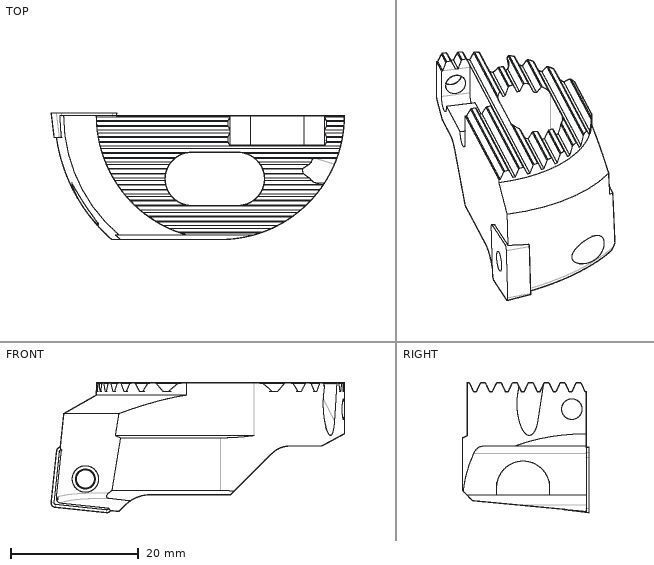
import cadquery as cq
import math


crown_radius = 19.45
cone_radius = 24.55
shoulder_top = 1.95
shoulder_foot = 4.85
relief_angle = 6.0
body_depth = 32.2
front_face = crown_radius
step_width = 0.75
step_top = 8.3
step_foot = 8.65

tip_x = -15.9
tip_depth = 20.2
sole_depth = 17.55
sole_end_x = 1.6
tail_depth = 9.95
tail_end_x = 15.85
tail_end_depth = 8.0
tip_round = 5.5
tail_round = 4.0
nose_round = 0.8
chamfer_top = 16.9

tooth_count = 7
teeth_span = 17.5
tooth_pitch = teeth_span / tooth_count
tooth_height = 1.4
valley_width = 0.4
crest_width = 0.9
crest_chamfer = 0.15

slot_x = -0.87
slot_y = -9.95
slot_length = 15.55
slot_width = 8.33
notch_x = 8.92
notch_depth_y = 4.6
notch_floor = 6.0
notch_floor_length = 8.35
notch_groove_radius = 1.6
notch_flare = 0.3
cross_hole_radius = 1.6
cross_hole_y = -2.3
cross_hole_z = -4.15
scoop_radius = 1.9
scoop_x = 15.0
scoop_y = -8.6
scoop_turn = -17.0
scoop_dip = 62.0

insert_x = -21.4
insert_z = -15.23
insert_side = 9.5
insert_corner = 0.75
insert_thickness = 3.85
insert_stand_out = 0.4
insert_tilt = 6.0
insert_clearance = 7.0
screw_x = -21.15
screw_z = -15.1
screw_radius = 1.55
screw_chamfer = 0.15
access_radius = 2.05
access_floor_y = -9.75
screw_tip_y = -8.3

far = 55.2
overshoot = 0.45


def prism_along_y(points, y_start, y_end):
    """Polygon of (x, z) points swept from y_start to y_end."""
    sketch = cq.Workplane("XZ", origin=(0, y_start, 0)).polyline(points).close()
    return sketch.extrude(y_start - y_end)


def prism_along_x(points):
    """Polygon of (y, z) points swept through the whole length."""
    return cq.Workplane("YZ", origin=(-far, 0, 0)).polyline(points).close().extrude(2 * far)


def rod_along_y(radius, x, z, y_start, y_end):
    """Round bar from y_start down to y_end."""
    return cq.Workplane("XZ", origin=(x, y_start, z)).circle(radius).extrude(y_start - y_end)


def quarter_box(direction):
    """Block bounding the jaw on one side of the turning axis (-1 or +1 along X)."""
    size_x = 2 * crown_radius
    box = cq.Workplane("XY").box(size_x, front_face, body_depth)
    return box.translate((direction * size_x / 2, -front_face / 2, -body_depth / 2))


def relieved_underside():
    """Everything below the plane that rises to -X and to -Y at the relief angle."""
    slope = math.tan(math.radians(relief_angle))
    normal = cq.Vector(-slope, -slope, -1)
    plane = cq.Plane(origin=(tip_x, 0, -tip_depth), xDir=(1, 0, -slope), normal=normal.toTuple())
    return cq.Workplane(plane).rect(2 * far, 2 * far).extrude(far)


def rounded_flank():
    """The -X end: crown, sloping shoulder and relieved flank turned about the axis."""
    foot_radius = cone_radius + (body_depth - shoulder_foot) * math.tan(math.radians(relief_angle))
    profile = [
        (0, 0),
        (crown_radius, 0),
        (crown_radius, -shoulder_top),
        (cone_radius, -shoulder_foot),
        (foot_radius, -body_depth),
        (0, -body_depth),
    ]
    turned = cq.Workplane("XZ").polyline(profile).close().revolve(360, (0, 0), (0, 1))
    trimmed = turned.cut(relieved_underside())
    trimmed = trimmed.faces("<Z").edges("%ELLIPSE").fillet(nose_round)
    return trimmed.intersect(quarter_box(-1))


def rounded_tail():
    """The +X end: a plain quarter cylinder."""
    return cq.Workplane("XY").circle(crown_radius).extrude(-body_depth).intersect(quarter_box(1))


def underside_cutter():
    """Space under the jaw: 45 degree tip, flat sole, 45 degree rise, tail and sloping end."""
    run_in = tip_depth - sole_depth
    rise = sole_depth - tail_depth
    end_slope = (tail_depth - tail_end_depth) / (crown_radius - tail_end_x)
    points = [
        (tip_x - far, -tip_depth - far),
        (tip_x + run_in, -sole_depth),
        (sole_end_x, -sole_depth),
        (sole_end_x + rise, -tail_depth),
        (tail_end_x, -tail_depth),
        (tail_end_x + far, -tail_depth + far * end_slope),
        (tail_end_x + far, -tip_depth - far),
    ]
    cutter = prism_along_y(points, far, -far)
    tip_corner = cq.selectors.NearestToPointSelector((tip_x + run_in, 0, -sole_depth))
    tail_corner = cq.selectors.NearestToPointSelector((sole_end_x + rise, 0, -tail_depth))
    return cutter.edges(tip_corner).fillet(tip_round).edges(tail_corner).fillet(tail_round)


def step_cutter():
    """Set-back of the front face above the sloping ledge."""
    inner = -front_face + step_width
    return prism_along_x([
        (inner, overshoot),
        (inner, -step_top),
        (-front_face, -step_foot),
        (-far, -step_foot),
        (-far, overshoot),
    ])


def front_chamfer_cutter():
    """45 degree chamfer along the lower front edge."""
    return prism_along_x([
        (-front_face, -chamfer_top),
        (-front_face + far, -chamfer_top - far),
        (-front_face - far, -chamfer_top - far),
        (-front_face - far, -chamfer_top),
    ])


def tooth_groove(y):
    """One V groove with a flat bottom; its mouth also bevels the crests beside it."""
    floor = valley_width / 2
    mouth = (tooth_pitch - crest_width) / 2
    bevel = mouth + crest_chamfer
    return prism_along_x([
        (y - floor, -tooth_height),
        (y + floor, -tooth_height),
        (y + mouth, -crest_chamfer),
        (y + bevel, 0),
        (y + bevel, overshoot),
        (y - bevel, overshoot),
        (y - bevel, 0),
        (y - mouth, -crest_chamfer),
    ])


def notch_cutter():
    """Notch in the top of the back face, with flared mouth and a round groove in each corner."""
    half_floor = notch_floor_length / 2
    half_wall = half_floor + 2 * notch_groove_radius
    half_mouth = half_wall + notch_flare
    points = [
        (notch_x - half_wall, -notch_floor),
        (notch_x + half_wall, -notch_floor),
        (notch_x + half_wall, -tooth_height),
        (notch_x + half_mouth, 0),
        (notch_x - half_mouth, 0),
        (notch_x - half_wall, -tooth_height),
    ]
    cutter = prism_along_y(points, 0, -notch_depth_y)
    for side in (-1, 1):
        groove_x = notch_x + side * (half_floor + notch_groove_radius)
        cutter = cutter.union(rod_along_y(notch_groove_radius, groove_x, -notch_floor, 0, -notch_depth_y))
    return cutter


def cross_hole_cutter():
    """Hole along X from the notch out through the +X end."""
    start = cq.Workplane("YZ", origin=(notch_x, cross_hole_y, cross_hole_z))
    return start.circle(cross_hole_radius).extrude(far)


def scoop_cutter():
    """Inclined U-shaped scoop running out through the +X end, open toward +X."""
    turn = math.radians(scoop_turn)
    dip = math.radians(scoop_dip)
    axis = cq.Vector(math.cos(turn) * math.cos(dip), math.sin(turn) * math.cos(dip), -math.sin(dip))
    open_side = cq.Vector(1, 0, 0) - axis * axis.x
    start = cq.Vector(scoop_x, scoop_y, 0) - axis * (far / 2)
    section = cq.Workplane(cq.Plane(origin=start, xDir=open_side, normal=axis))
    round_bottom = section.circle(scoop_radius).extrude(far)
    walls = section.center(far / 2, 0).rect(far, 2 * scoop_radius).extrude(far)
    return round_bottom.union(walls)


def slot_cutter():
    """Clamping slot with round ends, right through in Z."""
    start = cq.Workplane("XY", origin=(slot_x, slot_y, -far))
    return start.slot2D(slot_length, slot_width).extrude(2 * far)


def insert_blank():
    """Square plate with round corners, tapering away from its proud face and tilted about Y."""
    plate = (
        cq.Workplane("XZ")
        .sketch()
        .rect(insert_side, insert_side)
        .vertices()
        .fillet(insert_corner)
        .finalize()
        .extrude(insert_thickness, taper=insert_clearance)
    )
    tilted = plate.rotate((0, 0, 0), (0, 1, 0), insert_tilt)
    return tilted.translate((insert_x, insert_stand_out, insert_z))


def make_jaw():
    body = rounded_flank().union(rounded_tail())
    body = body.cut(underside_cutter()).cut(front_chamfer_cutter()).cut(step_cutter())
    for number in range(tooth_count + 1):
        body = body.cut(tooth_groove(-number * tooth_pitch))
    body = body.cut(slot_cutter()).cut(notch_cutter()).cut(cross_hole_cutter()).cut(scoop_cutter())
    body = body.cut(insert_blank())
    body = body.cut(rod_along_y(screw_radius, screw_x, screw_z, insert_stand_out, -far))
    return body.cut(rod_along_y(access_radius, screw_x, screw_z, access_floor_y, -far))


def make_insert():
    return insert_blank().cut(rod_along_y(screw_radius, screw_x, screw_z, insert_stand_out, -far))


def make_screw():
    shank = rod_along_y(screw_radius, screw_x, screw_z, insert_stand_out, screw_tip_y)
    return shank.faces("<Y").chamfer(screw_chamfer)


jaw = make_jaw()
insert = make_insert()
screw = make_screw()

result = cq.Compound.makeCompound([jaw.val(), insert.val(), screw.val()])